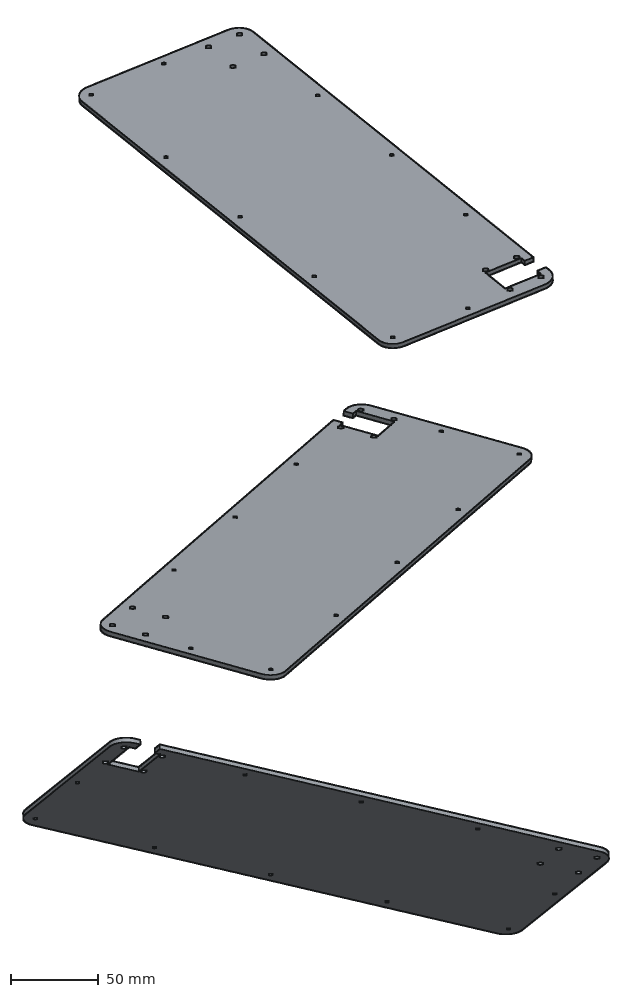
import cadquery as cq

length = 327.0
width = 117.5
thickness = 3.0
corner_radius = 10.5
tilt_degrees = 3.0

edge_hole_diameter = 2.2
corner_hole_diameter = 2.2
mount_hole_diameter = 3.3
edge_hole_spacing = 76.5
edge_hole_x = 157.0
edge_hole_y = 52.0
outer_hole_x = 155.5
inner_hole_x = 130.5
front_hole_y = -50.5
mount_hole_rows = (29.7, 51.0)

window_left = 132.7
window_right = 153.0
window_front = 28.0
window_rear = 52.5
opening_left = 136.3
opening_right = 149.0


def make_plate():
    plate = cq.Workplane("XY").box(length, width, thickness)
    return plate.edges("|Z").fillet(corner_radius)


def cut_holes(plate, points, diameter):
    drills = (
        cq.Workplane("XY")
        .pushPoints(points)
        .circle(diameter / 2)
        .extrude(thickness, both=True)
    )
    return plate.cut(drills)


def rectangular_cutter(left, right, front, rear):
    return (
        cq.Workplane("XY")
        .center((left + right) / 2, (front + rear) / 2)
        .rect(right - left, rear - front)
        .extrude(thickness, both=True)
    )


edge_points = [(-edge_hole_x, 0), (edge_hole_x, 0)]
for x in (-edge_hole_spacing, 0, edge_hole_spacing):
    edge_points += [(x, -edge_hole_y), (x, edge_hole_y)]

corner_points = [(-outer_hole_x, front_hole_y), (outer_hole_x, front_hole_y)]

mount_columns = (-outer_hole_x, -inner_hole_x, inner_hole_x, outer_hole_x)
mount_points = [(x, y) for x in mount_columns for y in mount_hole_rows]

plate = make_plate()
plate = cut_holes(plate, edge_points, edge_hole_diameter)
plate = cut_holes(plate, corner_points, corner_hole_diameter)
plate = cut_holes(plate, mount_points, mount_hole_diameter)
plate = plate.cut(rectangular_cutter(window_left, window_right, window_front, window_rear))
plate = plate.cut(rectangular_cutter(opening_left, opening_right, window_front, width / 2))

result = plate.rotate((0, 0, 0), (1, 0, 0), tilt_degrees)